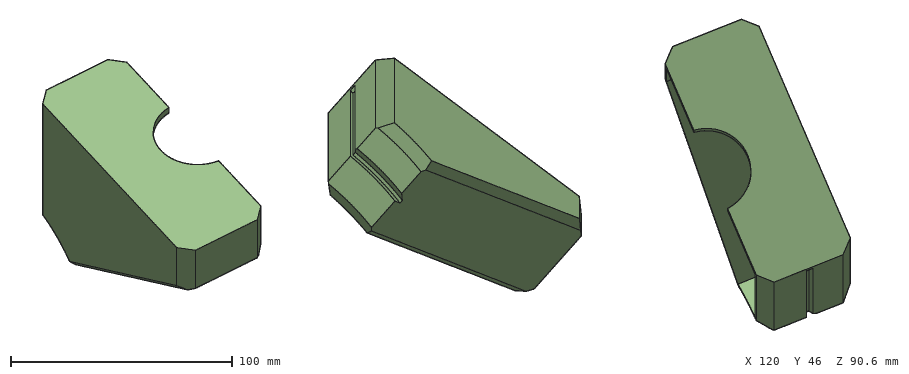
import cadquery as cq
import math

length = 120.0
depth = 46.0
height = 90.6

slope_end_z = 65.4
arc_start_z = 13.2
tip_x = 25.9
arc_radius = 43.9

upright_leg = 6.1
slope_leg = 3.6
arc_leg = 5.3

wall = 3.7
notch_radius = 20.0
notch_reach = 18.0

groove_back_y = 1.0
groove_floor_y = -0.7
groove_top_gap = 2.8
side_groove_depth = 1.5
arc_groove_depth = 3.6
arc_groove_front_y = -3.8

chord = math.hypot(tip_x, arc_start_z)
centre_distance = math.sqrt(arc_radius**2 - (chord / 2)**2)
arc_x = tip_x / 2 - centre_distance * arc_start_z / chord
arc_z = arc_start_z / 2 - centre_distance * tip_x / chord

slope_angle = math.degrees(math.atan2(slope_end_z, length - tip_x))


def arc_cutter(radius_profile):
    """Turn (radius, y) points about the Y axis through the arc centre."""
    first_y = radius_profile[0][1]
    last_y = radius_profile[-1][1]
    points = [(0, first_y)] + radius_profile + [(0, last_y)]
    profile = cq.Workplane("XY").polyline(points).close()
    return profile.revolve(360, (0, 0, 0), (0, 1, 0)).translate((arc_x, 0, arc_z))


def block(inset):
    """Chamfered bracket with every face moved inward by inset."""
    half_depth = depth / 2 - inset
    leg_loss = inset * (2 - math.sqrt(2))
    plan = (
        cq.Workplane("XY")
        .box(length - 2 * inset, 2 * half_depth, height - inset, centered=(True, True, False))
        .translate((length / 2, 0, 0))
        .edges("|Z").chamfer(upright_leg - leg_loss)
    )

    leg = slope_leg - leg_loss
    slope_space = (
        cq.Workplane("YZ")
        .polyline([
            (-half_depth, inset + leg),
            (-half_depth + leg, inset),
            (half_depth - leg, inset),
            (half_depth, inset + leg),
            (half_depth, 2 * height),
            (-half_depth, 2 * height),
        ])
        .close()
        .extrude(2 * length, both=True)
        .rotate((0, 0, 0), (0, 1, 0), -slope_angle)
        .translate((tip_x, 0, 0))
    )

    leg = arc_leg - leg_loss
    radius = arc_radius + inset
    arc = arc_cutter([
        (radius + leg, -half_depth),
        (radius, -half_depth + leg),
        (radius, half_depth - leg),
        (radius + leg, half_depth),
    ])
    return plan.intersect(slope_space).cut(arc)


def cavity():
    """Straight pocket from the front wall out through the open back."""
    back_face = block(wall).faces(">Y").val()
    inner_depth = depth - 2 * wall
    to_front = cq.Solid.extrudeLinear(back_face, cq.Vector(0, -inner_depth, 0))
    to_back = cq.Solid.extrudeLinear(back_face, cq.Vector(0, wall, 0))
    return cq.Workplane(to_front).union(cq.Workplane(to_back))


def top_notch():
    return (
        cq.Workplane("XY", origin=(length / 2, depth / 2 - notch_reach + notch_radius, height - 2 * wall))
        .circle(notch_radius)
        .extrude(2 * wall)
    )


def side_groove():
    """Groove with a sloped front side and a sloped upper end."""
    top_z = height - groove_top_gap
    front_y = groove_floor_y - side_groove_depth
    section = (
        cq.Workplane("XY")
        .polyline([
            (0, front_y),
            (side_groove_depth, groove_floor_y),
            (side_groove_depth, groove_back_y),
            (0, groove_back_y),
        ])
        .close()
        .extrude(height)
    )
    end_limit = (
        cq.Workplane("XZ")
        .polyline([
            (0, 0),
            (0, top_z),
            (side_groove_depth, top_z - side_groove_depth),
            (side_groove_depth, 0),
        ])
        .close()
        .extrude(depth, both=True)
    )
    return section.intersect(end_limit)


def arc_groove():
    return arc_cutter([
        (arc_radius, arc_groove_front_y),
        (arc_radius + arc_groove_depth, groove_floor_y),
        (arc_radius + arc_groove_depth, groove_back_y),
    ])


result = block(0).cut(cavity()).cut(top_notch()).cut(side_groove()).cut(arc_groove())